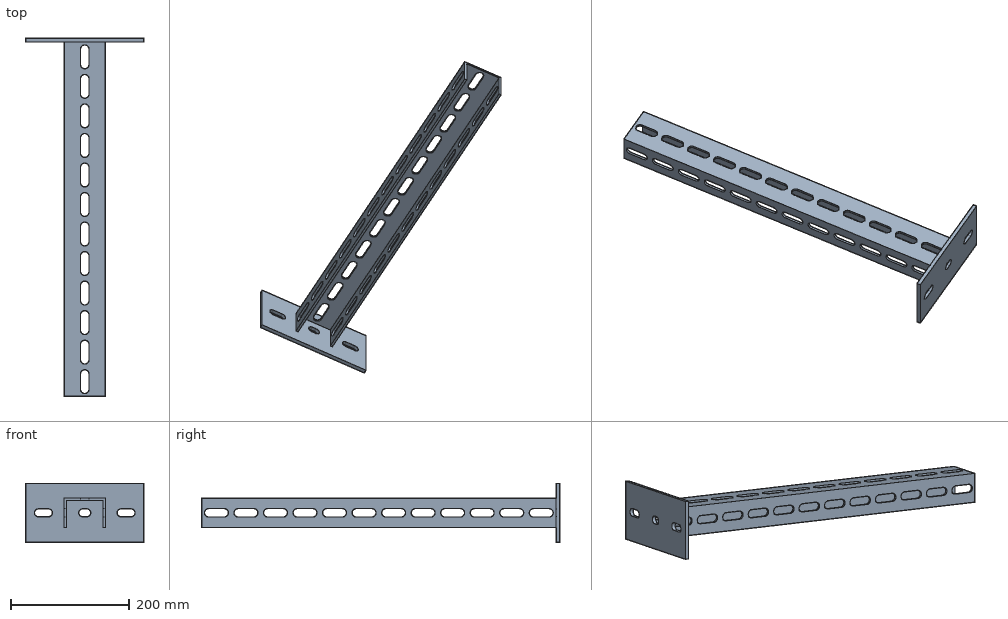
import cadquery as cq
plate_width = 200.0
plate_height = 100.0
plate_thickness = 6.5
plate_slot_width = 13.0
outer_slot_length = 30.0
outer_slot_offset = 70.0
center_slot_length = 20.0

arm_length = 600.0
arm_width = 70.0
arm_height = 50.0
wall_thickness = 4.0

slot_pitch = 50.0
slot_length = 40.0
slot_width = 14.0
slot_count = int(arm_length / slot_pitch)
first_slot_distance = slot_pitch / 2


def make_plate():
    """Flat plate with a slot on each side and a shorter one in the middle."""
    plate = (
        cq.Workplane("XZ")
        .rect(plate_width, plate_height)
        .extrude(-plate_thickness)
    )
    outer_slots = (
        cq.Workplane("XZ")
        .pushPoints([(-outer_slot_offset, 0), (outer_slot_offset, 0)])
        .slot2D(outer_slot_length, plate_slot_width)
        .extrude(-plate_thickness)
    )
    center_slot = (
        cq.Workplane("XZ")
        .slot2D(center_slot_length, plate_slot_width)
        .extrude(-plate_thickness)
    )
    return plate.cut(outer_slots).cut(center_slot)


def make_channel():
    """Plain U-shaped channel, its web on top and its legs pointing down."""
    channel = cq.Workplane("XZ").rect(arm_width, arm_height).extrude(arm_length)
    hollow = (
        cq.Workplane("XZ")
        .center(0, -wall_thickness / 2)
        .rect(arm_width - 2 * wall_thickness, arm_height - wall_thickness)
        .extrude(arm_length)
    )
    return channel.cut(hollow)


def cut_slot_rows(channel):
    """Cut evenly spaced lengthwise slots through the web and both legs."""
    slot_positions = [-(first_slot_distance + i * slot_pitch) for i in range(slot_count)]
    web_slots = (
        cq.Workplane("XY")
        .pushPoints([(0, y) for y in slot_positions])
        .slot2D(slot_length, slot_width, 90)
        .extrude(arm_height)
    )
    leg_slots = (
        cq.Workplane("YZ")
        .pushPoints([(y, 0) for y in slot_positions])
        .slot2D(slot_length, slot_width)
        .extrude(arm_width, both=True)
    )
    return channel.cut(web_slots).cut(leg_slots)


plate = make_plate()
arm = cut_slot_rows(make_channel())

result = cq.Compound.makeCompound([plate.val(), arm.val()])